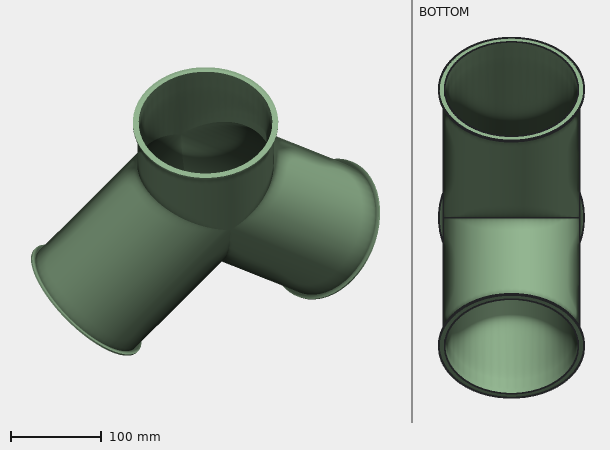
import cadquery as cq
import math

bore_diameter = 147.0
tube_diameter = 150.0
flange_diameter = 160.0
flange_thickness = 2.0
leg_angle = 45.0

overall_span = 396.0
leg_tilt = math.radians(leg_angle)
leg_length = (overall_span / 2 - flange_diameter / 2 * math.cos(leg_tilt)) / math.sin(leg_tilt)
inlet_length = leg_length / 2

branches = [
    (cq.Vector(0, 0, 1), inlet_length),
    (cq.Vector(0, math.sin(leg_tilt), -math.cos(leg_tilt)), leg_length),
    (cq.Vector(0, -math.sin(leg_tilt), -math.cos(leg_tilt)), leg_length),
]


def cylinder(diameter, direction, start, end):
    """Solid cylinder along a branch axis, between two distances from the junction."""
    return cq.Workplane(cq.Solid.makeCylinder(diameter / 2, end - start, direction * start, direction))


def joined(cylinders):
    """Union of all the given cylinders; equal tubes meet in mitred seams."""
    body = cylinders[0]
    for other in cylinders[1:]:
        body = body.union(other)
    return body


tubes = joined([cylinder(tube_diameter, axis, 0, length) for axis, length in branches])
bores = joined([cylinder(bore_diameter, axis, 0, length) for axis, length in branches])

outside = tubes
for axis, length in branches:
    outside = outside.union(cylinder(flange_diameter, axis, length - flange_thickness, length))

result = outside.cut(bores)